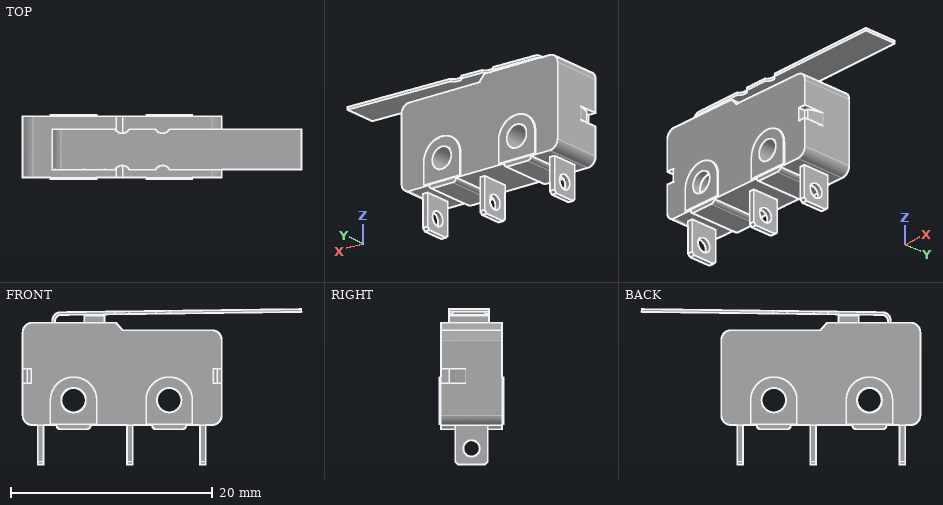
import cadquery as cq
import math


body_length = 19.8
body_thickness = 6.1
body_left = -5.07
body_right = body_left + body_length
body_bottom = -2.48
body_top = 7.71
step_drop = 0.75
shoulder_top = body_top - step_drop
ramp_start = 4.22
ramp_run = 0.65
corner_radius = 1.0
overall_length = 27.71
overall_height = 15.47

hole_spacing = 9.5
overall_thickness = 6.4
hole_positions = [0, hole_spacing]
hole_diameter = 2.4
relief_diameter = 2.5
relief_start = 1.0
pad_radius = 2.3
pad_bottom = body_bottom + 0.08

foot_height = 0.42
foot_half_width = 1.7
foot_rounding = 0.4

recess_bottom = 1.69
recess_height = 1.44
recess_depth = 0.87
recess_front_width = 0.84
recess_total_width = 2.43
slope_depth = 0.45

terminal_positions = [-3.26, 5.59, 12.85]
terminal_thickness = 0.6
terminal_width = 3.25
terminal_bottom = -6.41
terminal_chamfer = 0.3
terminal_hole_diameter = 1.6
terminal_hole_height = 1.62
embed = 0.5

lever_end = body_left + overall_length
lever_peak = terminal_bottom + overall_height
lever_left = -2.12
lever_thickness = 0.3
lever_width = 4.0
lever_y = -0.25
lever_slope = math.radians(0.74)
lever_tip_x = lever_end - lever_thickness * math.sin(lever_slope)
bend_radius = 0.85
notch_positions = [4.84, 8.84]
notch_radius = 0.8
notch_depth = 0.4

plunger_left = 1.05
plunger_width = 2.03
plunger_depth = lever_width
plunger_chamfer = 0.13


def lever_top(x):
    """Height of the upper face of the lever arm at x."""
    return lever_peak - (lever_tip_x - x) * math.tan(lever_slope)


def make_housing():
    outline = (
        cq.Workplane("XZ")
        .moveTo(body_left, body_bottom)
        .lineTo(body_right, body_bottom)
        .lineTo(body_right, shoulder_top)
        .lineTo(ramp_start + ramp_run, shoulder_top)
        .lineTo(ramp_start, body_top)
        .lineTo(body_left, body_top)
        .close()
    )
    block = outline.extrude(body_thickness / 2, both=True)
    ends = block.edges("|Y and (<X or >X)")
    return ends.fillet(corner_radius)


def make_pad(x):
    """Pad with a round top, standing proud of both faces of the housing."""
    outline = (
        cq.Workplane("XZ")
        .moveTo(x - pad_radius, pad_bottom)
        .lineTo(x + pad_radius, pad_bottom)
        .lineTo(x + pad_radius, 0)
        .threePointArc((x, pad_radius), (x - pad_radius, 0))
        .close()
    )
    return outline.extrude(overall_thickness / 2, both=True)


def make_foot(x):
    foot = (
        cq.Workplane("XY")
        .box(2 * foot_half_width, body_thickness, foot_height + embed, centered=(True, True, False))
        .edges("|Y and <Z")
        .fillet(foot_rounding)
    )
    return foot.translate((x, 0, body_bottom - foot_height))


def make_recess(end_x, inward):
    """Cutter for a catch recess; inward is +1 at the left end and -1 at the right end."""
    front = -body_thickness / 2
    step_y = front + recess_front_width
    deep_x = end_x + inward * recess_depth
    outline = (
        cq.Workplane("XY")
        .moveTo(end_x, front)
        .lineTo(deep_x, front)
        .lineTo(deep_x, step_y)
        .lineTo(end_x + inward * slope_depth, step_y)
        .lineTo(end_x, front + recess_total_width)
        .close()
    )
    return outline.extrude(recess_height).translate((0, 0, recess_bottom))


def make_terminal(x):
    height = body_bottom + embed - terminal_bottom
    blade = (
        cq.Workplane("XY")
        .box(terminal_thickness, terminal_width, height, centered=(True, True, False))
        .edges("|X and <Z")
        .chamfer(terminal_chamfer)
    )
    hole = (
        cq.Workplane("YZ")
        .center(0, terminal_hole_height)
        .circle(terminal_hole_diameter / 2)
        .extrude(terminal_thickness, both=True)
    )
    return blade.cut(hole).translate((x, 0, terminal_bottom))


def make_lever():
    """Bent strip: a short upright leg, a bend, and a long arm rising slightly to the right."""
    slope_cos = math.cos(lever_slope)
    inner_radius = bend_radius - lever_thickness
    center_x = lever_left + bend_radius
    center_z = lever_top(center_x) - bend_radius / slope_cos
    arm_angle = math.pi / 2 + lever_slope
    middle_angle = (math.pi + arm_angle) / 2
    leg_bottom = body_top - embed

    def bend_point(radius, angle):
        return (center_x + radius * math.cos(angle), center_z + radius * math.sin(angle))

    outline = (
        cq.Workplane("XZ")
        .moveTo(lever_left, leg_bottom)
        .lineTo(lever_left, center_z)
        .threePointArc(bend_point(bend_radius, middle_angle), bend_point(bend_radius, arm_angle))
        .lineTo(lever_tip_x, lever_peak)
        .lineTo(lever_end, lever_peak - lever_thickness * slope_cos)
        .lineTo(*bend_point(inner_radius, arm_angle))
        .threePointArc(bend_point(inner_radius, middle_angle), (lever_left + lever_thickness, center_z))
        .lineTo(lever_left + lever_thickness, leg_bottom)
        .close()
    )
    strip = outline.extrude(lever_width / 2, both=True)
    for x in notch_positions:
        for side in (-1, 1):
            notch_y = side * (lever_width / 2 + notch_radius - notch_depth)
            notch = cq.Workplane("XY", origin=(x, notch_y, body_top)).circle(notch_radius)
            strip = strip.cut(notch.extrude(2 * bend_radius))
    return strip.translate((0, lever_y, 0))


def make_plunger():
    """Button with a chamfered rim, its top meeting the underside of the lever."""
    top = lever_top(plunger_left + plunger_width / 2) - lever_thickness
    bottom = body_top - embed
    button = (
        cq.Workplane("XY")
        .box(plunger_width, plunger_depth, top - bottom, centered=(False, True, False))
        .faces(">Z")
        .edges()
        .chamfer(plunger_chamfer)
    )
    return button.translate((plunger_left, lever_y, bottom))


def make_bore(x, diameter, front_y):
    """Cutter along Y that runs from front_y out through the back of the housing."""
    bore = cq.Workplane("XZ", origin=(x, front_y, 0)).circle(diameter / 2)
    return bore.extrude(front_y - overall_thickness)


result = make_housing()
for hole_x in hole_positions:
    result = result.union(make_pad(hole_x)).union(make_foot(hole_x))
for terminal_x in terminal_positions:
    result = result.union(make_terminal(terminal_x))
result = result.union(make_plunger()).union(make_lever())
result = result.cut(make_recess(body_left, 1)).cut(make_recess(body_right, -1))
for hole_x in hole_positions:
    result = result.cut(make_bore(hole_x, hole_diameter, -overall_thickness / 2))
result = result.cut(make_bore(hole_positions[0], relief_diameter, relief_start - overall_thickness / 2))